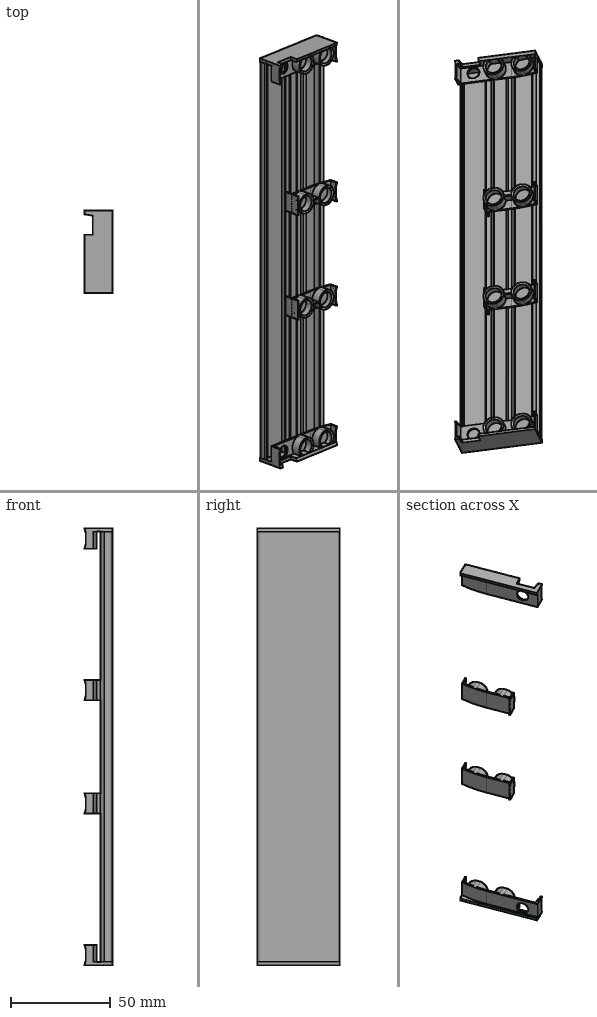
import cadquery as cq
import math

THICKNESS = 14.3
WIDTH = 41.5
LENGTH = 219.5

CAP_PLATE = 1.8
CARRIER_HEIGHT = 10.3
CARRIER_FRONT = 5.5
CARRIER_BACK = 6.4
BEND_START = 13.8
BEND_RISE = 1.8
EDGE_WALL = 0.7
HOOK_TIP = 0.7
HOOK_ROOT = 1.5
NOTCH_START = 29.5
NOTCH_END = 39.5
NOTCH_FLOOR_END = 38.9
NOTCH_FLOOR = 4.2
CLIP_SPACING = 56.9

DISH_DEPTH = 0.7
DISH_FLOOR_HEIGHT = 6.0

BOSS_YS = (7.2, 21.7)
BOSS_DIAMETER = 10.5
BOSS_BORE = 8.1
BOSS_RIM_DROP = 0.35
CAP_HOLE_DIAMETER = 6.1
CAP_HOLE_Y = 33.4
BORE_FLOOR = 4.8
RIB_THICKNESS = 0.7
RIB_FRONT = 1.3

RAIL_FLOOR = 11.5
BACK_FILLET = 0.9
SIDE_TOP = 10.0
GROOVE_RADIUS = 1.3
RIM_PEAK = (8.1, 1.3)
RIM_ROUND_MIDDLE = (8.8, 0.7)
RIM_TOP = 8.8
RIM_GROOVE_END = 3.3
RIM_TOP_END = 4.0
FIRST_CHANNEL_START = 4.5
INNER_RIB_START = 13.2
INNER_RIB_PEAK = 9.0
INNER_RIB_TOP = 9.7
INNER_GROOVE_START = 14.5
INNER_GROOVE_END = 16.5
INNER_RIB_END = 17.8
INNER_RIB_SHOULDER = 10.8
OUTER_RIB_START = 24.0
OUTER_RIB_END = 28.3
OUTER_RIB_TOP = 9.5
DEEP_GROOVE_Y = 26.3
FAR_RIM_FOOT = 39.5
FAR_RIM_START = 40.2
FAR_RIM_TOP_END = 40.8
FAR_RIM_STEP = 11.0

FIN_THICKNESS = 0.7
FIN_FRONT = 1.5

BEND_RADIUS = (BEND_START**2 + BEND_RISE**2) / (2 * BEND_RISE)
BEND_CENTER_X = CARRIER_BACK - BEND_RADIUS


def box(x0, x1, y0, y1, z0, z1):
    return cq.Workplane("XY").box(x1 - x0, y1 - y0, z1 - z0, centered=False).translate((x0, y0, z0))


def x_cylinder(diameter, x0, x1, y, z):
    return cq.Workplane("YZ").center(y, z).circle(diameter / 2).extrude(x1 - x0).translate((x0, 0, 0))


def bend_point(radius, y):
    """Point at the given Y on the arc of the given radius about the bend centre."""
    return (BEND_CENTER_X + math.sqrt(radius**2 - (BEND_START - y) ** 2), y)


def sheet(front, back, end_y):
    """Sheet from Y = 0 to end_y, flat above BEND_START and curved forward below it."""
    front_radius = front - BEND_CENTER_X
    back_radius = back - BEND_CENTER_X
    middle_y = BEND_START / 2
    return (
        cq.Workplane("XY")
        .moveTo(front, end_y)
        .lineTo(front, BEND_START)
        .threePointArc(bend_point(front_radius, middle_y), bend_point(front_radius, 0))
        .lineTo(*bend_point(back_radius, 0))
        .threePointArc(bend_point(back_radius, middle_y), (back, BEND_START))
        .lineTo(back, end_y)
        .close()
        .extrude(CARRIER_HEIGHT)
    )


def boss_ring(y):
    """Tube with a rim that slopes down into the bore and a floor parallel to the leg."""
    outer = BOSS_DIAMETER / 2
    inner = BOSS_BORE / 2
    middle = CARRIER_HEIGHT / 2
    tube = (
        cq.Workplane("XY")
        .polyline([
            (DISH_DEPTH, outer),
            (DISH_DEPTH + BOSS_RIM_DROP, inner),
            (CARRIER_BACK, inner),
            (CARRIER_BACK, outer),
        ])
        .close()
        .revolve(360, (0, 0, 0), (1, 0, 0))
        .translate((0, y, middle))
    )
    core = x_cylinder(BOSS_BORE, 0, CARRIER_BACK, y, middle)
    floor = core.intersect(sheet(BORE_FLOOR, CARRIER_BACK, WIDTH))
    return tube.union(floor)


def in_front_of_leg(shape, end_y):
    """Keeps what lies in front of the leg and within its height."""
    envelope = box(0, CARRIER_BACK, 0, end_y, 0, CARRIER_HEIGHT)
    return shape.intersect(envelope).cut(sheet(CARRIER_FRONT, THICKNESS, end_y))


def carrier(end_y):
    """Leg with its edge wall and two ring bosses."""
    front_parts = box(0, CARRIER_BACK, 0, EDGE_WALL, 0, CARRIER_HEIGHT)
    for y in BOSS_YS:
        front_parts = front_parts.union(boss_ring(y))
    leg = sheet(CARRIER_FRONT, CARRIER_BACK, end_y)
    return leg.union(in_front_of_leg(front_parts, end_y))


def dish():
    """Groove with sloped sides along the whole width at X = 0."""
    half_floor = DISH_FLOOR_HEIGHT / 2
    middle = CARRIER_HEIGHT / 2
    return (
        cq.Workplane("XZ")
        .polyline([
            (0, 0),
            (DISH_DEPTH, middle - half_floor),
            (DISH_DEPTH, middle + half_floor),
            (0, CARRIER_HEIGHT),
        ])
        .close()
        .extrude(-WIDTH)
    )


def hook():
    """Tapered hook at the +Y end of a cap."""
    return (
        cq.Workplane("XY")
        .polyline([
            (0, WIDTH),
            (0, WIDTH - HOOK_TIP),
            (CARRIER_FRONT, WIDTH - HOOK_ROOT),
            (CARRIER_FRONT, WIDTH),
        ])
        .close()
        .extrude(CARRIER_HEIGHT)
    )


def make_end_cap():
    """Cap for the lower end of the rail."""
    plate = box(0, THICKNESS, 0, WIDTH, 0, CAP_PLATE)
    notch = (
        cq.Workplane("XY")
        .polyline([
            (0, NOTCH_START),
            (NOTCH_FLOOR, NOTCH_START),
            (NOTCH_FLOOR, NOTCH_FLOOR_END),
            (0, NOTCH_END),
        ])
        .close()
        .extrude(CAP_PLATE)
    )
    plate = plate.cut(notch)
    cap = carrier(WIDTH).union(plate).union(hook()).cut(dish())
    hole = x_cylinder(CAP_HOLE_DIAMETER, CARRIER_FRONT, CARRIER_BACK, CAP_HOLE_Y, CARRIER_HEIGHT / 2)
    return cap.cut(hole)


def make_clip():
    """Clip with a fin that reaches into the half-round groove of the rail."""
    middle = CARRIER_HEIGHT / 2
    end_y = BOSS_YS[1] + BOSS_DIAMETER / 2
    ring_middle = (BOSS_DIAMETER + BOSS_BORE) / 4
    rib = box(
        RIB_FRONT, CARRIER_BACK,
        BOSS_YS[0] + ring_middle, BOSS_YS[1] - ring_middle,
        middle - RIB_THICKNESS / 2, middle + RIB_THICKNESS / 2,
    )
    fin_end = OUTER_RIB_TOP + math.sqrt(GROOVE_RADIUS**2 - (end_y - DEEP_GROOVE_Y) ** 2)
    fin = box(FIN_FRONT, fin_end, end_y - FIN_THICKNESS, end_y, 0, CARRIER_HEIGHT)
    return carrier(end_y).union(in_front_of_leg(rib, end_y)).union(fin).cut(dish())


def make_rail():
    """Extruded rail with three channels between grooved ribs."""
    return (
        cq.Workplane("XY")
        .moveTo(THICKNESS, 0)
        .lineTo(SIDE_TOP, 0)
        .threePointArc(RIM_ROUND_MIDDLE, RIM_PEAK)
        .radiusArc((RIM_TOP, RIM_GROOVE_END), -GROOVE_RADIUS)
        .lineTo(RIM_TOP, RIM_TOP_END)
        .lineTo(RAIL_FLOOR, FIRST_CHANNEL_START)
        .lineTo(RAIL_FLOOR, INNER_RIB_START)
        .lineTo(INNER_RIB_PEAK, INNER_RIB_START)
        .lineTo(INNER_RIB_TOP, INNER_GROOVE_START)
        .radiusArc((INNER_RIB_TOP, INNER_GROOVE_END), -GROOVE_RADIUS)
        .lineTo(INNER_RIB_SHOULDER, INNER_RIB_END)
        .lineTo(RAIL_FLOOR, INNER_RIB_END)
        .lineTo(RAIL_FLOOR, OUTER_RIB_START)
        .lineTo(OUTER_RIB_TOP, OUTER_RIB_START)
        .lineTo(OUTER_RIB_TOP, DEEP_GROOVE_Y - GROOVE_RADIUS)
        .threePointArc(
            (OUTER_RIB_TOP + GROOVE_RADIUS, DEEP_GROOVE_Y),
            (OUTER_RIB_TOP, DEEP_GROOVE_Y + GROOVE_RADIUS),
        )
        .lineTo(OUTER_RIB_TOP, OUTER_RIB_END)
        .lineTo(RAIL_FLOOR, OUTER_RIB_END)
        .lineTo(RAIL_FLOOR, FAR_RIM_FOOT)
        .lineTo(FAR_RIM_STEP, FAR_RIM_START)
        .lineTo(SIDE_TOP, FAR_RIM_START)
        .lineTo(SIDE_TOP, FAR_RIM_TOP_END)
        .lineTo(FAR_RIM_STEP, WIDTH)
        .lineTo(THICKNESS, WIDTH)
        .close()
        .extrude(LENGTH - 2 * CAP_PLATE)
        .edges("|Z and >X")
        .fillet(BACK_FILLET)
        .translate((0, 0, CAP_PLATE))
    )


rail = make_rail()

lower_cap = make_end_cap()
upper_cap = lower_cap.mirror("XY").translate((0, 0, LENGTH))

clips = []
for side in (-1, 1):
    clip_center_z = LENGTH / 2 + side * CLIP_SPACING / 2
    clips.append(make_clip().translate((0, 0, clip_center_z - CARRIER_HEIGHT / 2)))

result = cq.Compound.makeCompound(
    [rail.val(), lower_cap.val(), upper_cap.val(), *[clip.val() for clip in clips]]
)